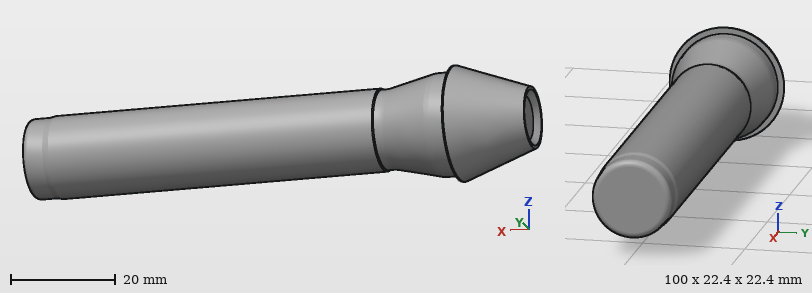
import cadquery as cq
import math

length = 100.0

head_length = 14.8
rim_width = 0.3
rim_radius = 11.2
nose_radius = 6.0
mouth_radius = 5.4
bore_radius = 4.2
mouth_depth = mouth_radius - bore_radius

collar_radius = 20.0 / 2
shaft_radius = 16.0 / 2
neck_radius = 15.5 / 2
taper_start = 18.4
taper_end = 28.0
taper_blend_radius = 5.0
shaft_start = 29.8
shaft_chamfer = shaft_radius - neck_radius
tail_taper_start = 94.6
tail_start = 95.8
tail_round = 1.2


def revolve_about_x(profile):
    """Turn a closed (x, radius) profile a full circle about the X axis."""
    return profile.close().revolve(360, (0, 0, 0), (1, 0, 0))


def make_head():
    """Cone that widens to a narrow rim, with a countersunk through bore."""
    return revolve_about_x(
        cq.Workplane("XY")
        .moveTo(0, mouth_radius)
        .lineTo(0, nose_radius)
        .lineTo(head_length - rim_width, rim_radius)
        .lineTo(head_length, rim_radius)
        .lineTo(head_length, bore_radius)
        .lineTo(mouth_depth, bore_radius)
    )


def make_stem():
    """Pilot that fills the head's bore, then collar, taper, neck, shaft and tail."""
    taper_angle = math.atan2(collar_radius - neck_radius, taper_end - taper_start)
    tangent = taper_blend_radius * math.tan(taper_angle / 2)
    tangent_x = tangent * math.cos(taper_angle)
    tangent_r = tangent * math.sin(taper_angle)

    return revolve_about_x(
        cq.Workplane("XY")
        .moveTo(mouth_depth, 0)
        .lineTo(mouth_depth, bore_radius)
        .lineTo(head_length, bore_radius)
        .lineTo(head_length, collar_radius)
        .lineTo(taper_start - tangent, collar_radius)
        .tangentArcPoint((taper_start + tangent_x, collar_radius - tangent_r), relative=False)
        .lineTo(taper_end - tangent_x, neck_radius + tangent_r)
        .tangentArcPoint((taper_end + tangent, neck_radius), relative=False)
        .lineTo(shaft_start - shaft_chamfer, neck_radius)
        .lineTo(shaft_start, shaft_radius)
        .lineTo(tail_taper_start, shaft_radius)
        .lineTo(tail_start, neck_radius)
        .lineTo(length - tail_round, neck_radius)
        .tangentArcPoint((length, neck_radius - tail_round), relative=False)
        .lineTo(length, 0)
    )


head = make_head()
stem = make_stem()

result = cq.Compound.makeCompound([head.val(), stem.val()])